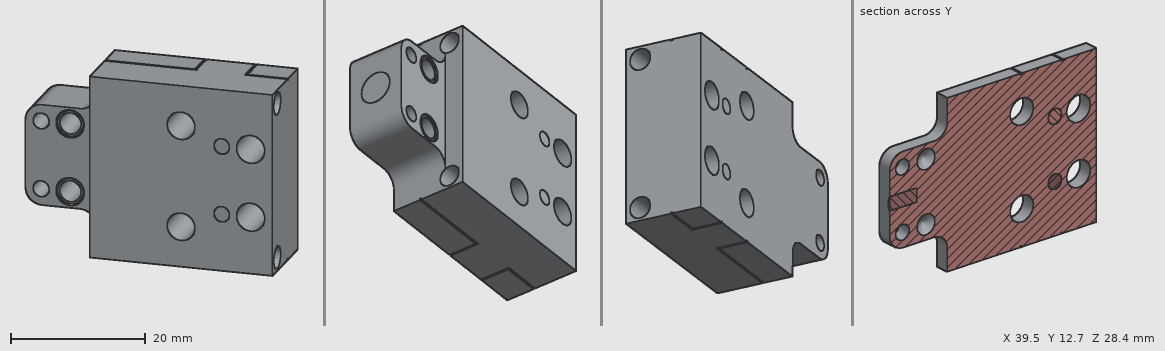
import cadquery as cq
import math


TOTAL_LENGTH = 39.45
BLOCK_SIDE = 28.45
BLOCK_THICKNESS = 12.7
TAB_LENGTH = TOTAL_LENGTH - BLOCK_SIDE
TAB_HEIGHT = 15.78
TAB_THICKNESS = 9.5
TAB_CORNER_RADIUS = 2.65
TAB_FILLET_RADIUS = 2.45
TAB_FRONT_Y = BLOCK_THICKNESS - TAB_THICKNESS
BLOCK_CENTER_X = TAB_LENGTH + BLOCK_SIDE / 2

ROW_Z = 5.33
DOWEL_TO_SCREW = 4.5
COUPLING_PITCH = 29.07
DOWEL_HOLE_X = 2.5
DOWEL_HOLE_DIAMETER = 2.5
CLEARANCE_HOLE_X = DOWEL_HOLE_X + DOWEL_TO_SCREW + COUPLING_PITCH
CLEARANCE_HOLE_DIAMETER = 4.38

SCREW_HOLE_X = DOWEL_HOLE_X + DOWEL_TO_SCREW
SCREW_MOUTH_DIAMETER = 4.38
SCREW_SHOULDER_DIAMETER = 4.0
DRILL_DIAMETER = 3.3
DRILL_DEPTH = 7.1
DRILL_TIP_ANGLE = 118.0

MOUNTING_HOLE_DIAMETER = 4.3
MOUNTING_HOLE_Z = 7.93
LONG_HOLE_DIAMETER = 3.45
LONG_HOLE_Y = 2.4
LONG_HOLE_EDGE_DISTANCE = 2.15
LONG_HOLE_Z = BLOCK_SIDE / 2 - LONG_HOLE_EDGE_DISTANCE

GROOVE_WIDTH = 0.28
GROOVE_DEPTH = 0.2
GROOVE_REACH = 5.1
FAR_GROOVE_LENGTH = 6.63

PLUG_DIAMETER = 5.2
PLUG_LENGTH = 5.13
PLUG_Y = BLOCK_THICKNESS - TAB_THICKNESS / 2

PIN_X = DOWEL_HOLE_X + COUPLING_PITCH
PIN_DIAMETER = 2.4
PIN_EDGE_RADIUS = 0.08

SIDES = (-1, 1)


def cylinder_along_y(x, z, diameter):
    """Cylinder through the whole thickness of the part."""
    return (
        cq.Workplane("XZ", origin=(x, 0, z))
        .circle(diameter / 2)
        .extrude(-BLOCK_THICKNESS)
    )


def cylinder_along_x(y, z, diameter, length):
    """Cylinder that starts at the tab end."""
    return (
        cq.Workplane("YZ", origin=(0, y, z))
        .circle(diameter / 2)
        .extrude(length)
    )


def make_block():
    return (
        cq.Workplane("XY")
        .box(BLOCK_SIDE, BLOCK_THICKNESS, BLOCK_SIDE)
        .translate((BLOCK_CENTER_X, BLOCK_THICKNESS / 2, 0))
    )


def make_tab():
    """Tab with rounded outer corners that flares into the block through concave fillets."""
    half_height = TAB_HEIGHT / 2
    flare_x = TAB_LENGTH - TAB_FILLET_RADIUS
    flare_z = half_height + TAB_FILLET_RADIUS
    tab = (
        cq.Workplane("XZ", origin=(0, BLOCK_THICKNESS, 0))
        .moveTo(0, -half_height)
        .lineTo(flare_x, -half_height)
        .radiusArc((TAB_LENGTH, -flare_z), TAB_FILLET_RADIUS)
        .lineTo(TAB_LENGTH, flare_z)
        .radiusArc((flare_x, half_height), TAB_FILLET_RADIUS)
        .lineTo(0, half_height)
        .close()
        .extrude(TAB_THICKNESS)
    )
    return tab.edges("|Y").edges("<X").fillet(TAB_CORNER_RADIUS)


def make_screw_hole(z):
    """Cutter for a screw hole, revolved about its axis along Y."""
    mouth_radius = SCREW_MOUTH_DIAMETER / 2
    shoulder_radius = SCREW_SHOULDER_DIAMETER / 2
    shoulder_depth = mouth_radius - shoulder_radius
    drill_radius = DRILL_DIAMETER / 2
    tip_depth = DRILL_DEPTH + drill_radius / math.tan(math.radians(DRILL_TIP_ANGLE / 2))
    half_section = [
        (0, 0),
        (mouth_radius, 0),
        (shoulder_radius, shoulder_depth),
        (drill_radius, shoulder_depth),
        (drill_radius, DRILL_DEPTH),
        (0, tip_depth),
    ]
    return (
        cq.Workplane("XY")
        .polyline(half_section)
        .close()
        .revolve(360, (0, 0), (0, 1))
        .translate((SCREW_HOLE_X, TAB_FRONT_Y, z))
    )


def make_groove(corner_x, end_x, floor_z):
    """Cutter for an L groove: from the back face to its corner, then along X to end_x."""
    front_y = BLOCK_THICKNESS - GROOVE_REACH
    inner_y = front_y + GROOVE_WIDTH
    inner_x = corner_x + math.copysign(GROOVE_WIDTH, end_x - corner_x)
    outline = [
        (corner_x, BLOCK_THICKNESS),
        (corner_x, front_y),
        (end_x, front_y),
        (end_x, inner_y),
        (inner_x, inner_y),
        (inner_x, BLOCK_THICKNESS),
    ]
    return (
        cq.Workplane("XY", origin=(0, 0, floor_z))
        .polyline(outline)
        .close()
        .extrude(GROOVE_DEPTH)
    )


def make_plug():
    return cylinder_along_x(PLUG_Y, 0, PLUG_DIAMETER, PLUG_LENGTH)


def make_pin(z):
    """Pin flush with both faces of the block, with a rounded front edge."""
    pin = cylinder_along_y(PIN_X, z, PIN_DIAMETER)
    return pin.faces("<Y").edges().fillet(PIN_EDGE_RADIUS)


def make_housing():
    housing = make_block().union(make_tab())

    for side in SIDES:
        row_z = side * ROW_Z
        cutters = [
            cylinder_along_y(DOWEL_HOLE_X, row_z, DOWEL_HOLE_DIAMETER),
            make_screw_hole(row_z),
            cylinder_along_y(PIN_X, row_z, PIN_DIAMETER),
            cylinder_along_y(CLEARANCE_HOLE_X, row_z, CLEARANCE_HOLE_DIAMETER),
            cylinder_along_y(BLOCK_CENTER_X, side * MOUNTING_HOLE_Z, MOUNTING_HOLE_DIAMETER),
            cylinder_along_x(LONG_HOLE_Y, side * LONG_HOLE_Z, LONG_HOLE_DIAMETER, TOTAL_LENGTH),
        ]
        for cutter in cutters:
            housing = housing.cut(cutter)

    for floor_z in (-BLOCK_SIDE / 2, BLOCK_SIDE / 2 - GROOVE_DEPTH):
        housing = housing.cut(make_groove(BLOCK_CENTER_X, TAB_LENGTH, floor_z))
        housing = housing.cut(make_groove(TOTAL_LENGTH - FAR_GROOVE_LENGTH, TOTAL_LENGTH, floor_z))

    return housing.cut(make_plug())


housing = make_housing()
plug = make_plug()
pins = [make_pin(side * ROW_Z) for side in SIDES]

bodies = [housing, plug, *pins]
result = cq.Compound.makeCompound([body.solids().val() for body in bodies])